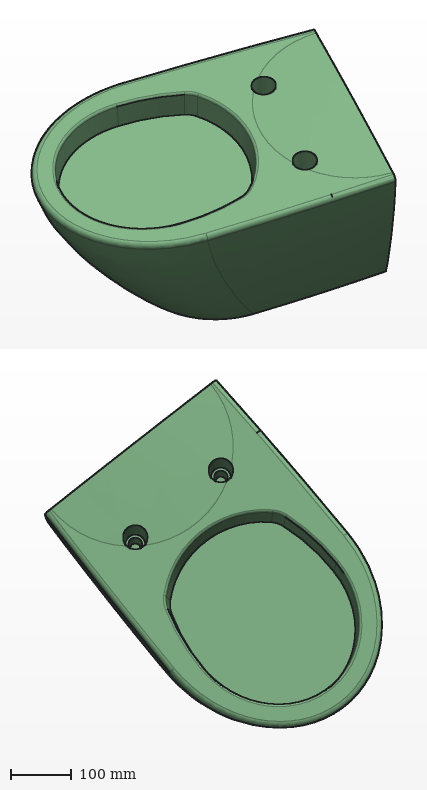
import cadquery as cq
import math

length = 561.0
half_width = 188.0
rim_height = 272.0
rim_band = 9.5
rim_round = 9.0
base_round = 2.0
back_narrowing = 7.0
nose_ratio = 0.4

shell_sections = [
    (0.0, 144.5, 394.0),
    (59.0, 159.0, 446.5),
    (157.0, 176.5, 514.0),
    (rim_height - rim_band, half_width, length),
]

opening_back = -187.5
opening_front = -521.5
opening_half_width = 141.5
opening_widest = -364.5
corner_half_width = 121.0
corner_y = -241.0
side_bulge = 12.5
side_bulge_y = -286.0
bowl_depth = 45.0
bowl_taper = 7.0
opening_corner_round = 45.0
lip_round = 4.5

hole_x = 90.5
hole_y = -124.5
hole_radius = 20.0
hole_seat_radius = 16.0
hole_depth = 50.5
bolt_radius = 11.0
bolt_end_radius = 9.0
bolt_depth = 33.5

crown_height = 3.5
crown_radius = 168.0
crown_overlap = 0.5

belly_sections = [
    (0.0, 126.0, 36.5),
    (95.5, 120.5, 17.0),
    (185.0, 115.0, 7.0),
    (336.5, 84.0, 1.0),
]
belly_overlap = 3.0


def shell_outline(plane, half, depth):
    """D-shaped section with gently bowed sides and an elliptical nose."""
    nose = nose_ratio * depth
    shoulder = depth - nose
    back_half = half - back_narrowing
    half_sweep = math.atan(back_narrowing / shoulder)
    side_radius = shoulder / math.sin(2 * half_sweep)
    bow_half = half - side_radius * (1 - math.cos(half_sweep))
    bow_y = -shoulder + side_radius * math.sin(half_sweep)
    return (
        plane.moveTo(-back_half, 0)
        .lineTo(back_half, 0)
        .threePointArc((bow_half, bow_y), (half, -shoulder))
        .ellipseArc(half, nose, 180, 360, sense=-1, startAtCurrent=True)
        .threePointArc((-bow_half, bow_y), (-back_half, 0))
        .close()
    )


def make_shell():
    plane = cq.Workplane("XY")
    height = 0.0
    for section_height, half, depth in shell_sections:
        plane = plane.workplane(offset=section_height - height)
        plane = shell_outline(plane, half, depth)
        height = section_height
    shell = plane.loft(combine=True)
    return shell.faces("<Z").edges("not(>Y)").fillet(base_round)


def make_rim():
    """Straight band on top of the shell with a rounded outer edge."""
    plane = cq.Workplane("XY", origin=(0, 0, rim_height - rim_band))
    rim = shell_outline(plane, half_width, length).extrude(rim_band)
    return rim.faces(">Z").edges("not(>Y)").fillet(rim_round)


def opening_outline(inset, depth):
    """Opening outline moved inward by inset."""
    half = opening_half_width - inset
    corner = corner_half_width - inset
    corner_place = corner_y - inset / 2
    bulge = corner_half_width + side_bulge - inset
    nose = opening_widest - opening_front - inset
    return (
        cq.Workplane("XY", origin=(0, 0, rim_height - depth))
        .moveTo(-corner, corner_place)
        .threePointArc((0, opening_back - inset), (corner, corner_place))
        .threePointArc((bulge, side_bulge_y), (half, opening_widest))
        .ellipseArc(half, nose, 180, 360, sense=-1, startAtCurrent=True)
        .threePointArc((-bulge, side_bulge_y), (-corner, corner_place))
        .close()
    )


def make_bowl():
    rim_wire = opening_outline(0, 0).val()
    floor_wire = opening_outline(bowl_taper, bowl_depth).val()
    bowl = cq.Workplane(cq.Solid.makeLoft([floor_wire, rim_wire], True))
    corners = cq.selectors.BoxSelector(
        (-corner_half_width - 5.5, corner_y - 11, rim_height - bowl_depth / 2 - 5.5),
        (corner_half_width + 5.5, corner_y + 11, rim_height - bowl_depth / 2 + 5.5),
    )
    return bowl.edges(corners).fillet(opening_corner_round)


def make_crown():
    """Half of a very flat dome, centered on the back wall."""
    sphere_radius = (crown_radius**2 + crown_height**2) / (2 * crown_height)
    mid_radius = crown_radius / 2
    mid_drop = sphere_radius - math.sqrt(sphere_radius**2 - mid_radius**2)
    return (
        cq.Workplane("XZ", origin=(0, 0, rim_height))
        .moveTo(0, -crown_overlap)
        .lineTo(crown_radius, -crown_overlap)
        .lineTo(crown_radius, 0)
        .threePointArc((mid_radius, crown_height - mid_drop), (0, crown_height))
        .close()
        .revolve(360, (0, 0), (0, 1))
        .intersect(
            cq.Workplane("XY", origin=(0, -crown_radius, rim_height))
            .box(2 * crown_radius, 2 * crown_radius, 2 * crown_radius)
        )
    )


def make_belly():
    wires = []
    for distance, half, depth in belly_sections:
        section = (
            cq.Workplane("XZ", origin=(0, -distance, 0))
            .moveTo(-half, belly_overlap)
            .lineTo(half, belly_overlap)
            .lineTo(half, 0)
            .threePointArc((0, -depth), (-half, 0))
            .close()
        )
        wires.append(section.val())
    return cq.Workplane(cq.Solid.makeLoft(wires))


def make_hole(x):
    """Tapered fixing hole ending in a narrower bolt bore."""
    top = rim_height + crown_height
    seat = rim_height - hole_depth
    bore_end = seat - bolt_depth
    profile = [
        (0, top), (hole_radius, top), (hole_radius, rim_height),
        (hole_seat_radius, seat), (bolt_radius, seat), (bolt_end_radius, bore_end), (0, bore_end),
    ]
    hole = cq.Workplane("XZ").polyline(profile).close().revolve(360, (0, 0), (0, 1))
    return hole.translate((x, hole_y, 0))


body = make_shell().union(make_rim()).cut(make_bowl())
lip_zone = cq.selectors.BoxSelector(
    (-opening_half_width - 5.5, opening_front - 5.5, rim_height - 0.5),
    (opening_half_width + 5.5, opening_back + 5.5, rim_height + 0.5),
)
body = body.edges(lip_zone).fillet(lip_round)
body = body.union(make_crown()).union(make_belly())
for side in (-1, 1):
    body = body.cut(make_hole(side * hole_x))
result = body